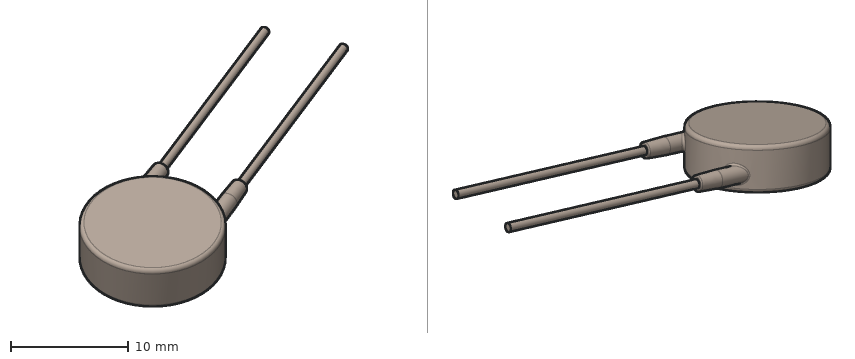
import cadquery as cq

body_diameter = 12.5
body_height = 4.3
body_edge_radius = 0.4

overall_length = 35.5
lead_spacing = 7.5
lead_height_offset = 0.5
wire_diameter = 0.8

sleeve_diameter = 1.65
sleeve_tip_diameter = 1.45
sleeve_reach = 2.98
sleeve_straight_reach = 0.8
sleeve_tip_edge_radius = 0.1
sleeve_root_radius = 0.18

body_radius = body_diameter / 2
sleeve_start_y = body_radius / 2
taper_start_y = body_radius + sleeve_straight_reach
sleeve_end_y = body_radius + sleeve_reach
wire_end_y = overall_length - body_radius


def make_body():
    body = cq.Workplane("XY").cylinder(body_height, body_radius)
    return body.faces("|Z").edges().fillet(body_edge_radius)


def make_sleeve():
    """Straight sleeve with a tapered, rounded tip, turned about the Y axis."""
    sleeve = (
        cq.Workplane("XY")
        .moveTo(0, sleeve_start_y)
        .lineTo(sleeve_diameter / 2, sleeve_start_y)
        .lineTo(sleeve_diameter / 2, taper_start_y)
        .lineTo(sleeve_tip_diameter / 2, sleeve_end_y)
        .lineTo(0, sleeve_end_y)
        .close()
        .revolve(360, (0, 0, 0), (0, 1, 0))
    )
    return sleeve.faces(">Y").edges().fillet(sleeve_tip_edge_radius)


def make_wire():
    """Wire starting inside the sleeve so that the two fuse."""
    return (
        cq.Workplane("XZ", origin=(0, taper_start_y, 0))
        .circle(wire_diameter / 2)
        .extrude(taper_start_y - wire_end_y)
    )


lead_positions = [
    (side * lead_spacing / 2, 0, side * lead_height_offset) for side in (-1, 1)
]

result = make_body()
for position in lead_positions:
    result = result.union(make_sleeve().translate(position))

root_zone = cq.selectors.BoxSelector(
    (-body_radius, sleeve_start_y, -body_height / 2 + body_edge_radius),
    (body_radius, body_radius, body_height / 2 - body_edge_radius),
)
result = result.edges("not(%LINE or %CIRCLE)").edges(root_zone).fillet(sleeve_root_radius)

for position in lead_positions:
    result = result.union(make_wire().translate(position))